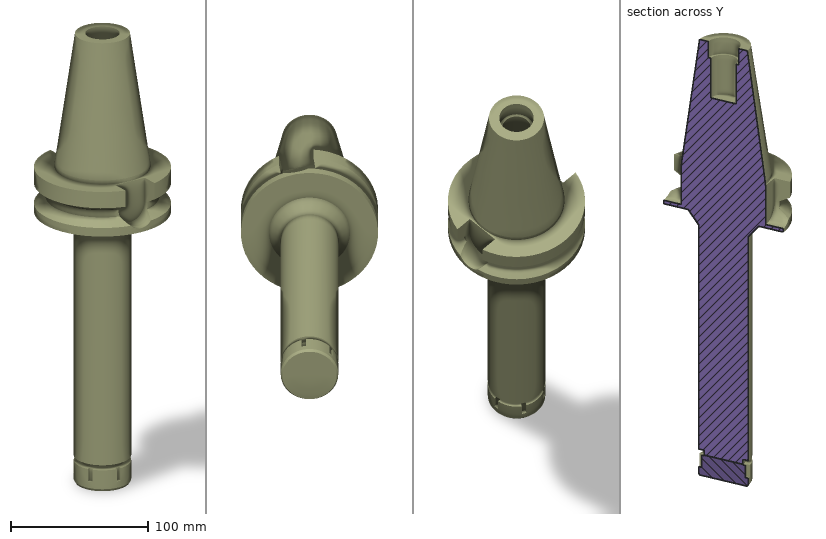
import cadquery as cq
import math


GAUGE_RADIUS = 69.85 / 2
TAPER_LENGTH = 101.8
TAPER_RATIO = 7 / 24
TAPER_END_RADIUS = GAUGE_RADIUS - TAPER_LENGTH * TAPER_RATIO / 2

BORE_RADIUS = 12.5
BORE_DEPTH = 13.0
INNER_BORE_RADIUS = 10.5
INNER_BORE_DEPTH = 45.0

FLANGE_RADIUS = 50.0
FLANGE_TOP = -3.0
FLANGE_BOTTOM = -38.0
GROOVE_CENTER = -23.5
GROOVE_FLOOR_RADIUS = 41.5
GROOVE_FLOOR_WIDTH = 5.7
GROOVE_WALL_ANGLE = 30.0
GROOVE_WALL_HEIGHT = (FLANGE_RADIUS - GROOVE_FLOOR_RADIUS) * math.tan(math.radians(GROOVE_WALL_ANGLE))
GROOVE_FLOOR_TOP = GROOVE_CENTER + GROOVE_FLOOR_WIDTH / 2
GROOVE_FLOOR_BOTTOM = GROOVE_CENTER - GROOVE_FLOOR_WIDTH / 2

SLOT_WIDTH = 25.7
SLOT_FLOOR_X = 35.4
SLOT_ARC_CENTER_Z = -22.0

SHAFT_RADIUS = 21.0
COLLAR_RADIUS = 29.5
COLLAR_HEIGHT = 10.0
COLLAR_BOTTOM = FLANGE_BOTTOM - COLLAR_HEIGHT

HOLDER_PROJECTION = 250.0
NUT_RADIUS = SHAFT_RADIUS
NUT_HEIGHT = 16.8
NUT_BOTTOM = -HOLDER_PROJECTION
NUT_TOP = NUT_BOTTOM + NUT_HEIGHT
NUT_CHAMFER_HEIGHT = 2.0
NUT_CHAMFER_WIDTH = 1.2
WRENCH_SLOT_COUNT = 6
WRENCH_SLOT_WIDTH = 3.5
WRENCH_SLOT_LENGTH = 9.8
WRENCH_SLOT_DEPTH = 2.5

NECK_RADIUS = 16.25
NECK_HEIGHT = 4.0
NECK_TOP = NUT_TOP + NECK_HEIGHT


def make_turned_blank():
    """Revolved outline of the holder: taper, grooved flange, collar, shaft and neck."""
    outline = [
        (0, TAPER_LENGTH),
        (TAPER_END_RADIUS, TAPER_LENGTH),
        (GAUGE_RADIUS, 0),
        (GAUGE_RADIUS, FLANGE_TOP),
        (FLANGE_RADIUS, FLANGE_TOP),
        (FLANGE_RADIUS, GROOVE_FLOOR_TOP + GROOVE_WALL_HEIGHT),
        (GROOVE_FLOOR_RADIUS, GROOVE_FLOOR_TOP),
        (GROOVE_FLOOR_RADIUS, GROOVE_FLOOR_BOTTOM),
        (FLANGE_RADIUS, GROOVE_FLOOR_BOTTOM - GROOVE_WALL_HEIGHT),
        (FLANGE_RADIUS, FLANGE_BOTTOM),
        (COLLAR_RADIUS, FLANGE_BOTTOM),
        (SHAFT_RADIUS, COLLAR_BOTTOM),
        (SHAFT_RADIUS, NECK_TOP),
        (NECK_RADIUS, NECK_TOP),
        (NECK_RADIUS, NUT_TOP),
        (0, NUT_TOP),
    ]
    return cq.Workplane("XZ").polyline(outline).close().revolve(360, (0, 0), (0, 1))


def make_stepped_bore():
    """Wide bore from the end of the taper with a narrower one below it."""
    end_plane = cq.Workplane("XY").workplane(offset=TAPER_LENGTH)
    wide_bore = end_plane.circle(BORE_RADIUS).extrude(-BORE_DEPTH)
    inner_bore = end_plane.circle(INNER_BORE_RADIUS).extrude(-INNER_BORE_DEPTH)
    return wide_bore.union(inner_bore)


def make_drive_slot(side_angle):
    """Cutter for a round-bottomed drive slot, open at the top and outer side of the flange."""
    half_width = SLOT_WIDTH / 2
    return (
        cq.Workplane("YZ", origin=(SLOT_FLOOR_X, 0, 0))
        .moveTo(-half_width, FLANGE_TOP)
        .lineTo(-half_width, SLOT_ARC_CENTER_Z)
        .threePointArc((0, SLOT_ARC_CENTER_Z - half_width), (half_width, SLOT_ARC_CENTER_Z))
        .lineTo(half_width, FLANGE_TOP)
        .close()
        .extrude(FLANGE_RADIUS - SLOT_FLOOR_X)
        .rotate((0, 0, 0), (0, 0, 1), side_angle)
    )


def make_holder():
    """Holder with its taper bore and two opposite drive slots."""
    holder = make_turned_blank().cut(make_stepped_bore())
    for side_angle in (0, 180):
        holder = holder.cut(make_drive_slot(side_angle))
    return holder


def make_nut():
    """Clamping nut with a chamfered lower rim and wrench slots open at its top."""
    outline = [
        (0, NUT_TOP),
        (NUT_RADIUS, NUT_TOP),
        (NUT_RADIUS, NUT_BOTTOM + NUT_CHAMFER_HEIGHT),
        (NUT_RADIUS - NUT_CHAMFER_WIDTH, NUT_BOTTOM),
        (0, NUT_BOTTOM),
    ]
    nut = cq.Workplane("XZ").polyline(outline).close().revolve(360, (0, 0), (0, 1))
    wrench_slot = cq.Workplane("XY").box(
        WRENCH_SLOT_DEPTH,
        WRENCH_SLOT_WIDTH,
        WRENCH_SLOT_LENGTH,
        centered=(False, True, False),
    ).translate((NUT_RADIUS - WRENCH_SLOT_DEPTH, 0, NUT_TOP - WRENCH_SLOT_LENGTH))
    for index in range(WRENCH_SLOT_COUNT):
        slot_angle = index * 360 / WRENCH_SLOT_COUNT
        nut = nut.cut(wrench_slot.rotate((0, 0, 0), (0, 0, 1), slot_angle))
    return nut


holder = make_holder()
nut = make_nut()

result = cq.Compound.makeCompound([holder.val(), nut.val()])